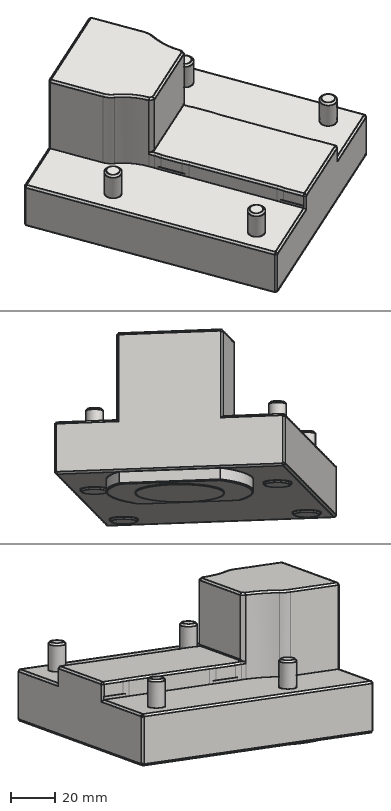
import cadquery as cq
import math

length = 123.5
width = 106.0
base_height = 24.0
edge_chamfer = 1.0

block_length = 48.9
block_half_width = 24.5
block_top = 63.8
shoulder_start = 26.5
shoulder_radius = 10.0
neck_radius = 30.0
corner_bevel = 1.5

rib_half_width = 18.9
rib_top = 32.1
rib_chamfer = 1.0

pad_rise = 0.2
ramp_length = 3.3
first_pad_start = 49.4
first_pad_end = 66.3
last_pad_start = 109.3
relief_height = 1.5
relief_rise = 0.09

screw_x = (39.0, 109.0)
screw_y = 42.0
shank_diameter = 8.0
shank_top = 37.0
shank_chamfer = 1.0
head_diameter = 13.0
head_height = 8.0
head_drop = 1.0
head_chamfer = 0.7

flange_diameter = 66.5
flange_start = 0.4
flange_end = 48.0
flange_drop = 5.7
flange_chamfer = 0.5
disc_diameter = 40.0
disc_drop = 6.2

neck_step = block_half_width - rib_half_width
turn = math.acos(1 - neck_step / (shoulder_radius + neck_radius))
shoulder_end = shoulder_start + shoulder_radius * math.sin(turn)
neck_end = shoulder_end + neck_radius * math.sin(turn)


def block_half_outline():
    """Half plan of the block, open, from the centre of the -X face to the end of the neck."""
    join_y = block_half_width - shoulder_radius * (1 - math.cos(turn))
    shoulder_mid = (
        shoulder_start + shoulder_radius * math.sin(turn / 2),
        block_half_width - shoulder_radius * (1 - math.cos(turn / 2)),
    )
    neck_mid = (
        neck_end - neck_radius * math.sin(turn / 2),
        rib_half_width + neck_radius * (1 - math.cos(turn / 2)),
    )
    return (
        cq.Workplane("XY")
        .moveTo(0, 0)
        .lineTo(0, block_half_width)
        .lineTo(shoulder_start, block_half_width)
        .threePointArc(shoulder_mid, (shoulder_end, join_y))
        .threePointArc(neck_mid, (neck_end, rib_half_width))
    )


def both_sides(half_outline, height):
    """Close a half plan along the X axis, extrude it and mirror it to the other side."""
    half = half_outline.close().extrude(height)
    return half.union(half.mirror("XZ"), clean=True)


def make_base():
    plate = cq.Workplane("XY").box(length, width, base_height, centered=(False, True, False))
    return plate.edges("|X").chamfer(edge_chamfer)


def make_block():
    lower = both_sides(block_half_outline().lineTo(neck_end, 0), rib_top)
    beveled = block_half_outline().lineTo(block_length, rib_half_width - corner_bevel)
    upper = both_sides(beveled.lineTo(block_length, 0), block_top - rib_top)
    upper = upper.translate((0, 0, rib_top))
    upper = upper.faces(">Z").edges("not <X").chamfer(edge_chamfer)
    upper = upper.faces(">X").edges("<Z").chamfer(edge_chamfer)
    return lower.union(upper)


def ramp_mid(foot, direction):
    """Middle point of a ramp arc that is tangent to the rib wall at its foot."""
    radius = (ramp_length**2 + pad_rise**2) / (2 * pad_rise)
    half_angle = math.asin(ramp_length / radius) / 2
    return (
        foot + direction * radius * math.sin(half_angle),
        rib_half_width + radius * (1 - math.cos(half_angle)),
    )


def make_rib():
    pad_half_width = rib_half_width + pad_rise
    half_outline = (
        cq.Workplane("XY")
        .moveTo(0, 0)
        .lineTo(0, rib_half_width)
        .lineTo(first_pad_start, rib_half_width)
        .threePointArc(ramp_mid(first_pad_start, 1), (first_pad_start + ramp_length, pad_half_width))
        .lineTo(first_pad_end - ramp_length, pad_half_width)
        .threePointArc(ramp_mid(first_pad_end, -1), (first_pad_end, rib_half_width))
        .lineTo(last_pad_start, rib_half_width)
        .threePointArc(ramp_mid(last_pad_start, 1), (last_pad_start + ramp_length, pad_half_width))
        .lineTo(length, pad_half_width)
        .lineTo(length, 0)
    )
    rib = both_sides(half_outline, rib_top)
    return rib.faces(">Z").edges("not (<X or >X)").chamfer(rib_chamfer)


def pad_relief(side):
    """Strip that thins the foot of the pads along one side of the rib."""
    wall = rib_half_width + relief_rise
    strip = cq.Workplane("XY").box(
        length - first_pad_start, 2 * pad_rise, relief_height, centered=(False, True, False)
    )
    return strip.translate((first_pad_start, side * (wall + pad_rise), base_height))


def make_screw():
    head = cq.Workplane("XY").circle(head_diameter / 2).extrude(head_height)
    head = head.faces("<Z").chamfer(head_chamfer)
    shank = cq.Workplane("XY").circle(shank_diameter / 2).extrude(shank_top + head_drop)
    shank = shank.faces(">Z").chamfer(shank_chamfer)
    return head.union(shank).translate((0, 0, -head_drop))


def make_flange():
    centre = (flange_start + flange_end) / 2
    disc = cq.Workplane("XY").circle(disc_diameter / 2).extrude(-disc_drop)
    plate = cq.Workplane("XY").circle(flange_diameter / 2).extrude(-flange_drop)
    flats = cq.Workplane("XY").box(flange_end - flange_start, flange_diameter, 2 * flange_drop)
    plate = plate.intersect(flats).faces("<Z").chamfer(flange_chamfer)
    return plate.union(disc).translate((centre, 0, 0))


body = make_base().union(make_block()).union(make_rib())
body = body.faces("<X").chamfer(edge_chamfer)
body = body.faces(">X").chamfer(edge_chamfer)
for side in (-1, 1):
    body = body.cut(pad_relief(side))
    for x in screw_x:
        body = body.union(make_screw().translate((x, side * screw_y, 0)))

result = body.union(make_flange())